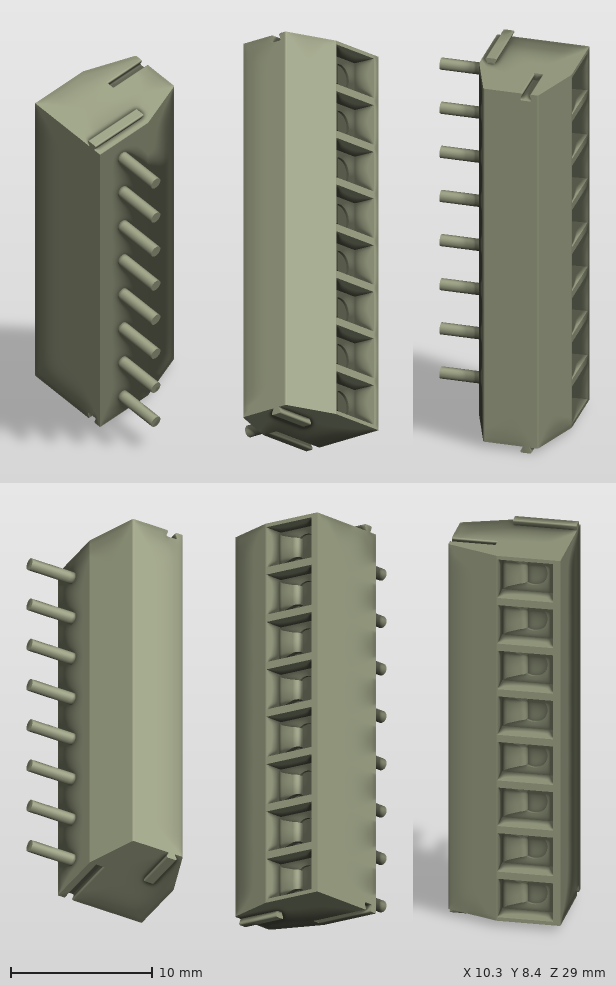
import cadquery as cq

POLES = 8
BODY_WIDTH = 6.8
BODY_DEPTH = 8.4
OVERALL_HEIGHT = 28.95
BODY_HEIGHT = 28.0
PITCH = BODY_HEIGHT / POLES
SHOULDER_Y = 4.6
SLOPE_INSET = 1.4
CREST_RADIUS = 0.17

PIN_DIAMETER = 0.87
PIN_LENGTH = 3.5
PIN_Y = 2.15

POCKET_HEIGHT = 2.95
POCKET_DEPTH = 1.68
POCKET_TOP_Y = 4.55
POCKET_MOUTH_Y = 0.52
POCKET_FLOOR_Y = 0.67

SEAT_DIAMETER = 1.95
SEAT_DEPTH = 0.2
SEAT_Y = 2.25

TONGUE_TIP_Y = 2.7
TONGUE_RISE = 0.43
TONGUE_ROOT_HALF = 1.4
TONGUE_SHOULDER_HALF = 1.07
TONGUE_NECK_HALF = 0.75
TONGUE_TIP_HALF = 0.7

RAIL_RISE = (OVERALL_HEIGHT - BODY_HEIGHT) / 2
SLOT_DEPTH = 0.55
DOVETAIL_FOOT = 0.45
DOVETAIL_CROWN = 0.93
DOVETAIL_RADIUS = 0.1
REAR_X = 5.95
REAR_LENGTH = SHOULDER_Y
FRONT_X = 2.3
FRONT_LENGTH = 3.3


def housing():
    """Prism with a narrowed +Y side and rounded crest edges."""
    return (
        cq.Workplane("XY")
        .moveTo(0, 0)
        .lineTo(BODY_WIDTH, 0)
        .lineTo(BODY_WIDTH, SHOULDER_Y)
        .lineTo(BODY_WIDTH - SLOPE_INSET, BODY_DEPTH)
        .lineTo(SLOPE_INSET, BODY_DEPTH)
        .lineTo(0, SHOULDER_Y)
        .close()
        .extrude(BODY_HEIGHT)
        .edges("|Z and >Y")
        .fillet(CREST_RADIUS)
    )


def pin(z):
    """Round pin standing out of the +X face."""
    return (
        cq.Workplane("YZ", origin=(BODY_WIDTH, PIN_Y, z))
        .circle(PIN_DIAMETER / 2)
        .extrude(PIN_LENGTH)
    )


def pocket(z):
    """Pocket volume, with a leaning lower wall and a round seat in its floor."""
    well = (
        cq.Workplane("XY", origin=(0, 0, z))
        .moveTo(0, POCKET_MOUTH_Y)
        .lineTo(POCKET_DEPTH, POCKET_FLOOR_Y)
        .lineTo(POCKET_DEPTH, POCKET_TOP_Y)
        .lineTo(0, POCKET_TOP_Y)
        .close()
        .extrude(POCKET_HEIGHT / 2, both=True)
    )
    seat = (
        cq.Workplane("YZ", origin=(POCKET_DEPTH, SEAT_Y, z))
        .circle(SEAT_DIAMETER / 2)
        .extrude(SEAT_DEPTH)
    )
    return well.union(seat)


def tongue(z):
    """Tongue on the pocket floor: a rolled side profile trimmed to a tapering outline."""
    crest_x = POCKET_DEPTH - TONGUE_RISE
    base_x = POCKET_DEPTH + SEAT_DEPTH
    flat_start_y = POCKET_TOP_Y - TONGUE_RISE
    flat_end_y = TONGUE_TIP_Y + TONGUE_RISE
    rolled = (
        cq.Workplane("XY", origin=(0, 0, z))
        .moveTo(base_x, POCKET_TOP_Y)
        .lineTo(POCKET_DEPTH, POCKET_TOP_Y)
        .radiusArc((crest_x, flat_start_y), -TONGUE_RISE)
        .lineTo(crest_x, flat_end_y)
        .radiusArc((POCKET_DEPTH, TONGUE_TIP_Y), -TONGUE_RISE)
        .lineTo(base_x, TONGUE_TIP_Y)
        .close()
        .extrude(TONGUE_ROOT_HALF, both=True)
    )
    upper_side = [
        (POCKET_TOP_Y, TONGUE_ROOT_HALF),
        (flat_start_y, TONGUE_SHOULDER_HALF),
        (flat_end_y, TONGUE_NECK_HALF),
        (TONGUE_TIP_Y, TONGUE_TIP_HALF),
    ]
    lower_side = [(y, -half) for y, half in reversed(upper_side)]
    outline = (
        cq.Workplane("YZ", origin=(crest_x, 0, z))
        .polyline(upper_side + lower_side)
        .close()
        .extrude(base_x - crest_x)
    )
    return rolled.intersect(outline)


def dovetail(x, z, height, y_start, length):
    """Dovetail bar along Y: narrow at z, wide at z + height (signed), wide edges rounded."""
    crown = ">Z" if height > 0 else "<Z"
    return (
        cq.Workplane("XZ", origin=(x, y_start, z))
        .moveTo(-DOVETAIL_FOOT / 2, 0)
        .lineTo(DOVETAIL_FOOT / 2, 0)
        .lineTo(DOVETAIL_CROWN / 2, height)
        .lineTo(-DOVETAIL_CROWN / 2, height)
        .close()
        .extrude(-length)
        .faces(crown)
        .edges("|Y")
        .fillet(DOVETAIL_RADIUS)
    )


def cut_slot(body, x, z, height, y_start, length):
    """Cut a dovetail slot into the end face at z and round the lips of its mouth."""
    lip_zone = cq.selectors.BoxSelector(
        (x - DOVETAIL_FOOT, y_start, z - DOVETAIL_RADIUS),
        (x + DOVETAIL_FOOT, y_start + length, z + DOVETAIL_RADIUS),
    )
    slotted = body.cut(dovetail(x, z, height, y_start, length))
    return slotted.edges("|Y").edges(lip_zone).fillet(DOVETAIL_RADIUS)


FRONT_START = BODY_DEPTH - FRONT_LENGTH
result = housing()
result = result.union(dovetail(REAR_X, BODY_HEIGHT, RAIL_RISE, 0, REAR_LENGTH))
result = cut_slot(result, REAR_X, 0, SLOT_DEPTH, 0, REAR_LENGTH)
result = result.union(dovetail(FRONT_X, 0, -RAIL_RISE, FRONT_START, FRONT_LENGTH))
result = cut_slot(result, FRONT_X, BODY_HEIGHT, -SLOT_DEPTH, FRONT_START, FRONT_LENGTH)

for pole in range(POLES):
    pole_z = (pole + 0.5) * PITCH
    result = result.cut(pocket(pole_z)).union(tongue(pole_z)).union(pin(pole_z))